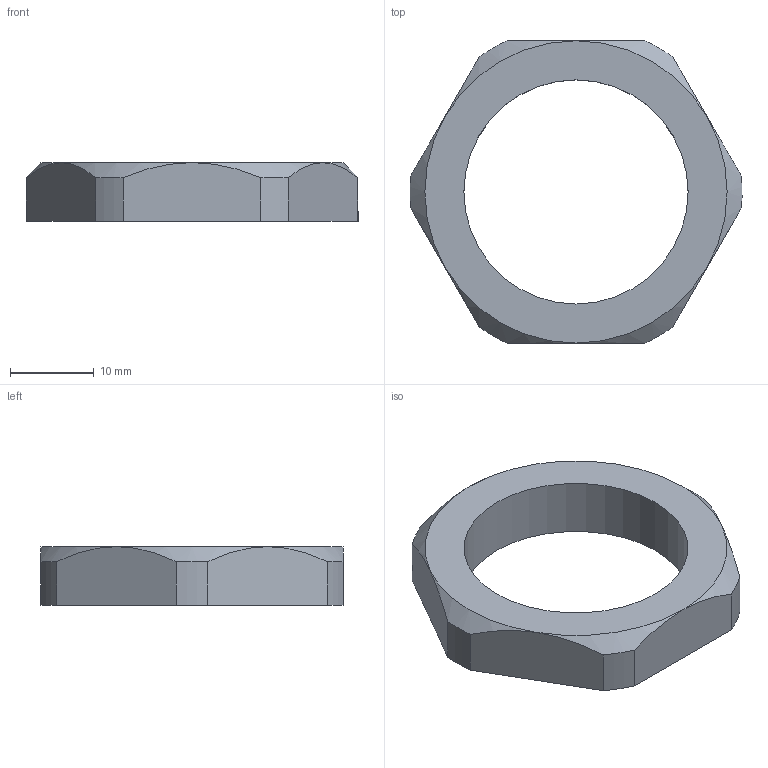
import cadquery as cq
import math

across_flats = 36.0
corner_diameter = 39.56
bore_diameter = 26.7
thickness = 7.0

chamfer = (corner_diameter - across_flats) / 2


def chamfered_disc():
    """Round blank whose edge forms the rounded corners and the top chamfer."""
    disc = cq.Workplane("XY").circle(corner_diameter / 2).extrude(thickness)
    return disc.faces(">Z").edges().chamfer(chamfer)


def hexagonal_prism():
    """Hexagon with two of its corners on the X axis."""
    across_corners = across_flats / math.cos(math.pi / 6)
    return cq.Workplane("XY").polygon(6, across_corners).extrude(thickness)


def bore():
    """Plain hole through the full thickness."""
    return cq.Workplane("XY").circle(bore_diameter / 2).extrude(thickness)


result = chamfered_disc().intersect(hexagonal_prism()).cut(bore())